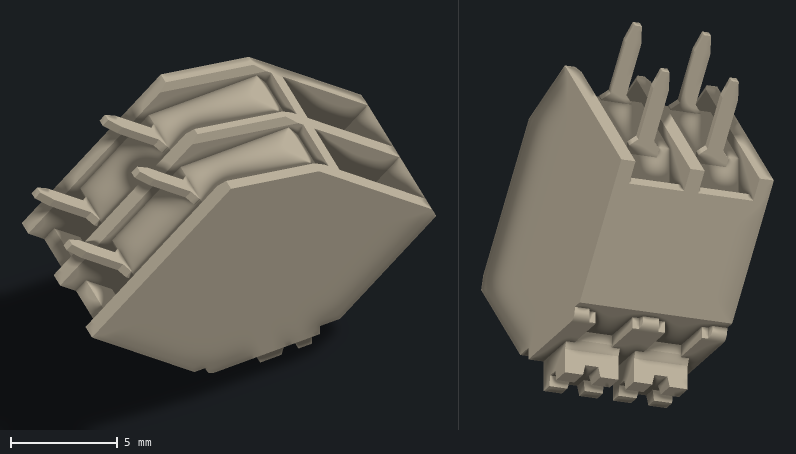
import cadquery as cq
import math

DIAGONAL = math.sqrt(2)
SIDE_PLANE = cq.Plane(origin=(0, 0, 0), xDir=(0, -1, 0), normal=(-1, 0, 0))
CLEARANCE = 1.83

overall_length = 18.31

pole_count = 2
wall = 0.71
pocket_width = 2.78
pole_pitch = pocket_width + wall
body_width = pole_count * pole_pitch + wall
pole_centres = [(i - (pole_count - 1) / 2) * pole_pitch for i in range(pole_count)]

housing_bottom = 2.09
base_back = 5.0
base_front = 12.58
pin_face_bottom_run = 17.9
pin_face_top_run = 10.67
back_bevel_run = 0.25
back_bevel_height = 0.65
wire_face_run = 5.85

back_tip_height = housing_bottom + base_back
pin_face_bottom_height = housing_bottom + pin_face_bottom_run - base_front
wire_face_bottom_height = back_tip_height + back_bevel_height
wire_face_top_run = back_bevel_run + wire_face_run
wire_face_top_height = wire_face_bottom_height + wire_face_run
pin_face_sum = pin_face_bottom_run + pin_face_bottom_height
pin_face_top_height = pin_face_sum - pin_face_top_run

inner_slope = math.tan(math.radians(59))

pocket_depth = 0.53
pocket_floor_end = 3.3
lip_setback = 1.17
lip_thickness = 0.73
top_floor_height = 12.93
top_floor_back_run = 6.02
groove_bottom_run = 5.55
rail_front_run = 5.25

wire_entry_bottom_run = 2.01
wire_entry_top_run = 4.69

wall_bevel_width = 0.18
wall_bevel_depth = 0.44

pin_rows = 2
pin_thickness = 0.4
pin_width = 0.79
pin_tip_width = 0.35
pin_taper_length = 0.92
pin_shoulder_width = 1.52
pin_shoulder_top = -0.48
pin_root = -1.46
first_pin_distance = 2.1
pin_spacing = 5.0
last_pin_run = pin_face_top_run + (first_pin_distance + (pin_rows - 1) * pin_spacing) / DIAGONAL
pin_projection = (overall_length - last_pin_run) * DIAGONAL - pin_thickness / 2

foot_bottom = 1.5
foot_back = 6.05
foot_front = 11.95
foot_radius = 0.45
recess_mouth_width = 2.71
recess_inner_width = 2.49
slot_width = 1.87
recess_depth = 0.3

slider_size = 2.71
slider_back = 6.1
slider_slope_bottom = 1.17
slider_slope_top = 1.61
slider_slope_run = 0.22
notch_bottom_width = 0.88
notch_top_width = 0.66
notch_height = 0.5
notch_from_back = 1.15

slider_front = slider_back + slider_size
slider_top_front = slider_front + slider_slope_run


def wire_face_height(run):
    """Height of the tilted wire face at a given run."""
    return wire_face_bottom_height + run - back_bevel_run


def tilted_point(from_pin_face, from_lower_face):
    """Profile point a given distance inside the pin face and the lower front face."""
    run = pin_face_bottom_run - (from_pin_face + from_lower_face) / DIAGONAL
    height = pin_face_bottom_height + (from_lower_face - from_pin_face) / DIAGONAL
    return run, height


def side_prism(points, width, centre=0.0):
    """Prism with a (run, height) profile, centred on X = centre."""
    prism = cq.Workplane(SIDE_PLANE).polyline(points).close().extrude(width / 2, both=True)
    return prism.translate((centre, 0, 0))


def make_housing():
    outline = [
        (base_back, housing_bottom),
        (0, back_tip_height),
        (back_bevel_run, wire_face_bottom_height),
        (wire_face_top_run, wire_face_top_height),
        (pin_face_top_run, pin_face_top_height),
        (pin_face_bottom_run, pin_face_bottom_height),
        (base_front, housing_bottom),
    ]
    return side_prism(outline, body_width)


def make_pin_pocket(centre):
    """Space between two walls, over the flat top and the tilted pin side."""
    floor_top_run = pin_face_sum - pocket_depth * DIAGONAL - top_floor_height
    floor_end_run, floor_end_height = tilted_point(pocket_depth, pocket_floor_end)
    lip_inner_run, lip_inner_height = tilted_point(lip_setback, lip_thickness)
    lip_root_height = lip_inner_height - (lip_inner_run - floor_end_run)
    groove_depth = (top_floor_back_run - groove_bottom_run) * inner_slope
    rail_height = wire_face_height(rail_front_run)
    far_run = pin_face_bottom_run + CLEARANCE
    far_height = pin_face_top_height + CLEARANCE
    lip_outer_run, lip_outer_height = tilted_point(lip_setback, -CLEARANCE)
    profile = [
        (rail_front_run, far_height),
        (rail_front_run, rail_height),
        (groove_bottom_run, top_floor_height - groove_depth),
        (top_floor_back_run, top_floor_height),
        (floor_top_run, top_floor_height),
        (floor_end_run, floor_end_height),
        (floor_end_run, lip_root_height),
        (lip_inner_run, lip_inner_height),
        (lip_outer_run, lip_outer_height),
        (far_run, lip_outer_height),
        (far_run, far_height),
    ]
    return side_prism(profile, pocket_width, centre)


def make_wire_entry(centre):
    """Pocket in the wire face with a steep sloping floor."""
    corner_height = wire_face_bottom_height - (wire_entry_bottom_run - back_bevel_run)
    floor_rise = (wire_entry_top_run - wire_entry_bottom_run) * inner_slope
    profile = [
        (back_bevel_run, wire_face_bottom_height),
        (wire_entry_bottom_run, corner_height),
        (wire_entry_top_run, corner_height + floor_rise),
        (wire_entry_top_run, wire_face_height(wire_entry_top_run)),
    ]
    return side_prism(profile, pocket_width, centre)


def make_wall_bevel(centre):
    """Wedge-sided cutter that bevels the walls on both sides of a pocket."""
    low_end = cq.Vector(centre, -wire_face_top_run, wire_face_top_height)
    high_end = cq.Vector(centre, -pin_face_top_run, pin_face_top_height)
    top_edge = high_end - low_end
    along_top = top_edge.normalized()
    start = low_end - along_top * CLEARANCE
    plane = cq.Plane(origin=start, xDir=(1, 0, 0), normal=along_top)
    bottom_half = pocket_width / 2
    top_half = bottom_half + wall_bevel_width
    section = [
        (-bottom_half, -wall_bevel_depth),
        (bottom_half, -wall_bevel_depth),
        (top_half, 0),
        (-top_half, 0),
    ]
    return cq.Workplane(plane).polyline(section).close().extrude(top_edge.Length + 2 * CLEARANCE)


def make_pin(centre, distance):
    """Flat pin square to the pin face, with a shoulder at its root and a tapered tip."""
    step = distance / DIAGONAL
    origin = (centre, -(pin_face_top_run + step), pin_face_top_height - step)
    plane = cq.Plane(origin=origin, xDir=(1, 0, 0), normal=(0, -1, -1))
    shoulder_end = pin_shoulder_top + (pin_shoulder_width - pin_width) / 2
    right_side = [
        (pin_shoulder_width / 2, pin_root),
        (pin_shoulder_width / 2, pin_shoulder_top),
        (pin_width / 2, shoulder_end),
        (pin_width / 2, pin_projection - pin_taper_length),
        (pin_tip_width / 2, pin_projection),
    ]
    left_side = [(-x, y) for x, y in reversed(right_side)]
    outline = cq.Workplane(plane).polyline(right_side + left_side).close()
    return outline.extrude(pin_thickness / 2, both=True)


def make_foot():
    """Bar under the housing, rounded in front, with a stepped recess for each slider."""
    outline = [
        (foot_back, foot_bottom),
        (foot_front, foot_bottom),
        (foot_front, housing_bottom),
        (foot_back, housing_bottom),
    ]
    foot = side_prism(outline, body_width)
    foot = foot.edges("|X").edges("<Y").edges("<Z").fillet(foot_radius)
    lip_front = foot_front - recess_depth
    mouth_half = recess_mouth_width / 2
    inner_half = recess_inner_width / 2
    slot_half = slot_width / 2
    recess_plan = [
        (-mouth_half, -foot_front),
        (-inner_half, -lip_front),
        (-slot_half, -lip_front),
        (-slot_half, -slider_front),
        (slot_half, -slider_front),
        (slot_half, -lip_front),
        (inner_half, -lip_front),
        (mouth_half, -foot_front),
    ]
    recess = cq.Workplane("XY").polyline(recess_plan).close().extrude(housing_bottom)
    for centre in pole_centres:
        foot = foot.cut(recess.translate((centre, 0, 0)))
    return foot


def notch_points(centre):
    """Tapered notch section, open at height zero."""
    return [
        (centre - notch_bottom_width / 2, 0),
        (centre - notch_top_width / 2, notch_height),
        (centre + notch_top_width / 2, notch_height),
        (centre + notch_bottom_width / 2, 0),
    ]


def make_slider(centre):
    """Square slider with crossed screwdriver notches in its underside."""
    profile = [
        (slider_back, 0),
        (slider_front, 0),
        (slider_front, slider_slope_bottom),
        (slider_top_front, slider_slope_top),
        (slider_top_front, housing_bottom),
        (slider_back, housing_bottom),
    ]
    slider = side_prism(profile, slider_size, centre)
    cross_notch = side_prism(notch_points(slider_back + notch_from_back), slider_size, centre)
    long_notch = cq.Workplane("XZ").polyline(notch_points(centre)).close().extrude(slider_front)
    return slider.cut(cross_notch).cut(long_notch)


result = make_housing().union(make_foot())
for pole in pole_centres:
    result = result.cut(make_pin_pocket(pole)).cut(make_wire_entry(pole)).cut(make_wall_bevel(pole))
    result = result.union(make_slider(pole))
    for row in range(pin_rows):
        result = result.union(make_pin(pole, first_pin_distance + row * pin_spacing))